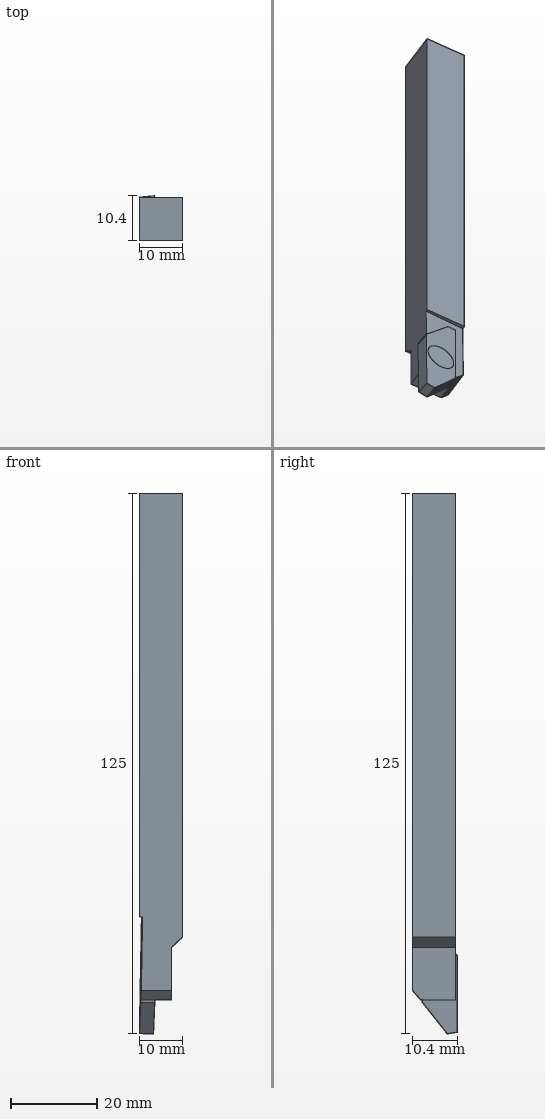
import cadquery as cq
import math

SHANK_SIZE = 10.0
TOTAL_LENGTH = 125.0
HOLDER_BOTTOM = 7.9
BEVEL_TOP = 10.0
BEVEL_WIDTH = 1.9
NECK_WIDTH = 7.5
NECK_TOP = 20.0
NECK_SHOULDER_TOP = 22.4

SEAT_TOP = 27.0
SEAT_LEAN_Y = 0.03
SEAT_LEAN_Z = 0.018

INSERT_THICKNESS = 3.3
INSERT_PROUD = 0.06
INSERT_FACE_Y = SHANK_SIZE + INSERT_PROUD
INSERT_OVERHANG = 0.21
INSERT_TOP = 25.1
INSERT_TOP_Y = 4.0
INSERT_BACK_TOP_Y = 2.0
INSERT_BACK_BOTTOM_Y = 2.3
INSERT_BACK_BOTTOM = 7.3
INSERT_SHOULDER = 18.1
TIP_Y = 8.0
EDGE_HEIGHT = 0.4

STUD_DIAMETER = 7.0
STUD_Y = 6.1
STUD_Z = 12.5

SEAT_NORMAL = cq.Vector(1, SEAT_LEAN_Y, -SEAT_LEAN_Z).normalized()
SEAT_PLANE = cq.Plane(
    origin=(SEAT_LEAN_Y * SHANK_SIZE, 0, INSERT_THICKNESS * SEAT_LEAN_Z),
    xDir=(-SEAT_LEAN_Y, 1, 0),
    normal=SEAT_NORMAL.toTuple(),
)


def make_shank():
    front_outline = [
        (0, HOLDER_BOTTOM),
        (NECK_WIDTH, HOLDER_BOTTOM),
        (NECK_WIDTH, NECK_TOP),
        (SHANK_SIZE, NECK_SHOULDER_TOP),
        (SHANK_SIZE, TOTAL_LENGTH),
        (0, TOTAL_LENGTH),
    ]
    shank = cq.Workplane("XZ").polyline(front_outline).close().extrude(-SHANK_SIZE)
    bevel_outline = [(0, HOLDER_BOTTOM), (BEVEL_WIDTH, HOLDER_BOTTOM), (0, BEVEL_TOP)]
    bevel = cq.Workplane("YZ").polyline(bevel_outline).close().extrude(SHANK_SIZE)
    return shank.cut(bevel)


def make_seat_relief():
    """Material outside the leaning seat face, up to the step at its top."""
    margin = SHANK_SIZE
    slab = (
        cq.Workplane(SEAT_PLANE)
        .center(SHANK_SIZE / 2, SEAT_TOP / 2)
        .rect(SHANK_SIZE + 2 * margin, SEAT_TOP + 2 * margin)
        .extrude(-margin)
    )
    below_step = cq.Workplane("XY").box(
        4 * margin, 4 * margin, SEAT_TOP, centered=(True, True, False)
    )
    return slab.intersect(below_step)


def make_insert_blank():
    """Insert without its hole; its +Y side flares outward towards the back."""
    outer_y = INSERT_FACE_Y + INSERT_OVERHANG
    outline = [
        (TIP_Y, 0),
        (outer_y, EDGE_HEIGHT),
        (outer_y, INSERT_SHOULDER),
        (INSERT_TOP_Y, INSERT_TOP),
        (INSERT_BACK_TOP_Y, INSERT_TOP),
        (INSERT_BACK_BOTTOM_Y, INSERT_BACK_BOTTOM),
    ]
    plate = cq.Workplane(SEAT_PLANE).polyline(outline).close().extrude(INSERT_THICKNESS)
    flare_angle = math.degrees(math.atan2(INSERT_OVERHANG, INSERT_THICKNESS))
    envelope = (
        cq.Workplane(SEAT_PLANE)
        .center(INSERT_FACE_Y / 2, INSERT_TOP / 2)
        .rect(INSERT_FACE_Y, 2 * INSERT_TOP)
        .extrude(INSERT_THICKNESS, taper=-flare_angle)
    )
    return plate.intersect(envelope)


def make_stud():
    """Stud from the pocket floor up to the seat face."""
    return (
        cq.Workplane(SEAT_PLANE)
        .center(STUD_Y, STUD_Z)
        .circle(STUD_DIAMETER / 2)
        .extrude(INSERT_THICKNESS)
    )


def make_holder():
    pocketed = make_shank().cut(make_seat_relief()).cut(make_insert_blank())
    return pocketed.union(make_stud())


def make_insert():
    return make_insert_blank().cut(make_stud())


holder = make_holder()
insert = make_insert()

result = cq.Compound.makeCompound([holder.solids().val(), insert.solids().val()])